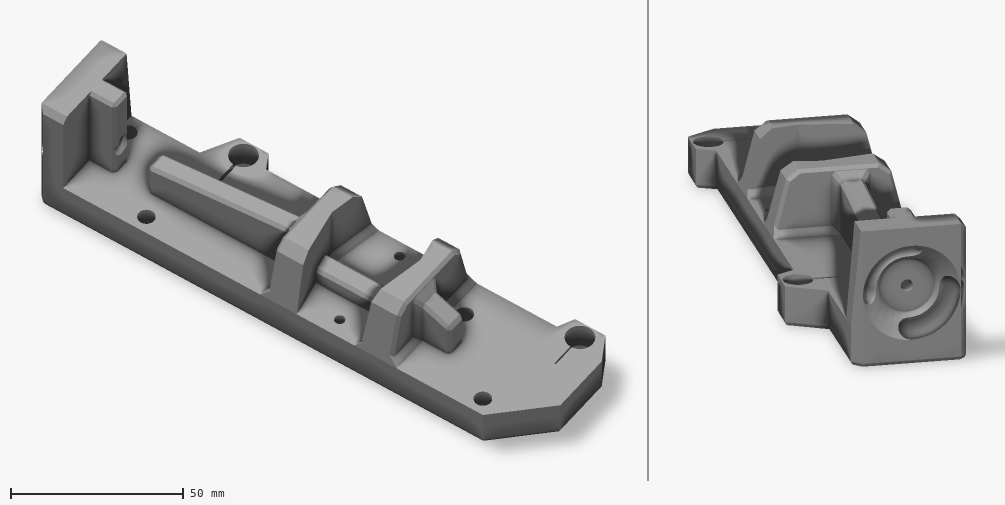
import cadquery as cq
import math

length = 175.0
plate_height = 12.0
body_width = 40.0
end_width = 34.1
total_width = 45.5
corner_cut = 16.1
foot_height = 1.0
foot_inset = 0.5

first_ear_foot = (33.5, 52.8)
first_ear_tip = (39.5, 49.9)
second_ear_foot = 156.6
second_ear_tip = (159.2, 170.1)
second_ear_side_y = 36.8

block_length = 9.1
block_height = 42.0
block_top_width = 31.7
near_bevel = 2.0
far_bevel = 2.8
axis_y = 16.6
axis_z = 21.9
cone_radius = 14.5
cone_floor_radius = 8.0
cone_depth = cone_radius - cone_floor_radius
bore_diameter = 3.7
bore_sink_diameter = 7.2
scallop_radius = 16.3

track_radius = 12.6
track_grooves = ((7.4, 3.2), (6.0, 4.0))
track_starts = (90, 270)
track_sweep = 90

centre_x = 103.8
outer_half_span = 22.2
tower_face = centre_x - outer_half_span
tower_height = 32.0
tower_shoulder = 29.2
tower_shoulder_inset = 4.4
tower_top_inset = 8.0
tower_edge_chamfer = 1.0
skirt_leg = 2.1
jaw_half_gap = 15.8
jaw_apex_x = centre_x - jaw_half_gap
jaw_apex_y = 23.8
jaw_slope = 0.185

overlap = 1.4
rib_width = 7.2
rib_chamfer = 1.0
peg_end = 18.2
long_rib_start = 30.0
long_rib_end = tower_face + overlap
long_rib_low = 23.1
long_rib_high = 28.9
short_rib_start = 2 * centre_x - long_rib_end
short_rib_end = 137.7
short_rib_high = 29.2
short_rib_low = 23.3
bridge_top = 17.8
bridge_start = jaw_apex_x - 2 * overlap
bridge_end = 2 * centre_x - bridge_start

hole_pitch = 120.0
screw_diameter = 5.5
screw_points = ((12.0, 28.4), (35.2, 5.0))
pin_diameter = 3.3
pin_ys = (5.6, 35.5)
socket_diameter = 9.0
socket_depth = 8.8
socket_x = 44.5
socket_y = 40.6
slit_end_y = 28.2
slit_widths = (1.0, 0.5)

spare = 3.5


def box(x0, x1, y0, y1, z0, z1):
    """Box between two opposite corners."""
    block = cq.Workplane("XY").box(x1 - x0, y1 - y0, z1 - z0, centered=False)
    return block.translate((x0, y0, z0))


def closed_wire(points):
    return cq.Wire.makePolygon([cq.Vector(*point) for point in points], close=True)


def ruled_loft(first, second):
    return cq.Workplane(cq.Solid.makeLoft([first, second], True))


def cone_x(x0, x1, radius0, radius1):
    """Cone frustum on the bore axis."""
    start = cq.Vector(x0, axis_y, axis_z)
    return cq.Workplane(cq.Solid.makeCone(radius0, radius1, x1 - x0, start, cq.Vector(1, 0, 0)))


def cylinder_x(x0, x1, radius):
    """Cylinder on the bore axis."""
    start = cq.Vector(x0, axis_y, axis_z)
    return cq.Workplane(cq.Solid.makeCylinder(radius, x1 - x0, start, cq.Vector(1, 0, 0)))


def upright_holes(points, diameter, z0):
    """Round holes from height z0 up to the top of the plate."""
    holes = cq.Workplane("XY").workplane(offset=z0).pushPoints(points)
    return holes.circle(diameter / 2).extrude(plate_height - z0)


def mirror_across_gap(shape):
    return shape.mirror("YZ", (centre_x, 0, 0))


def make_plate():
    outline = [
        (0, near_bevel),
        (near_bevel, 0),
        (length - corner_cut, 0),
        (length, corner_cut),
        (length, second_ear_side_y),
        (second_ear_tip[1], total_width),
        (second_ear_tip[0], total_width),
        (second_ear_foot, body_width),
        (first_ear_foot[1], body_width),
        (first_ear_tip[1], total_width),
        (first_ear_tip[0], total_width),
        (first_ear_foot[0], end_width),
        (far_bevel, end_width),
        (0, end_width - far_bevel),
    ]
    plate = cq.Workplane("XY").polyline(outline).close().extrude(plate_height)
    return plate.faces("<Z").edges().chamfer(foot_height, foot_inset)


def make_end_block():
    """Upright block with a leaning +Y side and both upright corners of its end face bevelled."""
    section = [
        (0, plate_height - spare),
        (end_width, plate_height - spare),
        (end_width, plate_height),
        (block_top_width, block_height),
        (near_bevel, block_height),
        (0, block_height - near_bevel),
    ]
    block = cq.Workplane("YZ").polyline(section).close().extrude(block_length)
    near_corner = [(0, 0), (near_bevel, 0), (0, near_bevel)]
    far_corner = [(0, end_width - far_bevel), (far_bevel, end_width), (0, end_width)]
    for corner in (near_corner, far_corner):
        block = block.cut(cq.Workplane("XY").polyline(corner).close().extrude(block_height))
    return block


def make_bore():
    """Cone in the end face, and a through bore countersunk at the end of the peg."""
    sink_depth = (bore_sink_diameter - bore_diameter) / 2
    cone = cone_x(0, cone_depth, cone_radius, cone_floor_radius)
    bore = cylinder_x(0, peg_end, bore_diameter / 2)
    sink = cone_x(peg_end - sink_depth, peg_end, bore_diameter / 2, bore_sink_diameter / 2)
    return cone.union(bore).union(sink)


def make_scallop():
    """Round relief in the bevelled upright corner beside the cone."""
    corner = box(0, near_bevel, 0, near_bevel, 0, block_height)
    return cylinder_x(0, near_bevel, scallop_radius).intersect(corner)


def cut_track(body, start_angle, diameter, depth):
    """Cuts a quarter-turn groove of round section with ball-shaped ends into body."""
    axis_start = (depth, axis_y, axis_z)
    axis_end = (depth - 1.8, axis_y, axis_z)
    ball = cq.Workplane("XY").sphere(diameter / 2)
    ball = ball.translate((depth, axis_y - track_radius, axis_z))
    for angle in (start_angle, start_angle + track_sweep):
        body = body.cut(ball.rotate(axis_start, axis_end, angle))
    groove = (
        cq.Workplane("XY", origin=axis_start)
        .center(0, -track_radius)
        .circle(diameter / 2)
        .revolve(track_sweep, (1.8, track_radius), (0, track_radius))
    )
    return body.cut(groove.rotate(axis_start, axis_end, start_angle))


def tower_prism(x0, x1):
    """Six-sided tower profile, extruded from x0 to x1."""
    profile = [
        (0, plate_height),
        (body_width, plate_height),
        (body_width - tower_shoulder_inset, tower_shoulder),
        (body_width - tower_top_inset, tower_height),
        (tower_top_inset, tower_height),
        (tower_shoulder_inset, tower_shoulder),
    ]
    return cq.Workplane("YZ").workplane(offset=x0).polyline(profile).close().extrude(x1 - x0)


def jaw_outline(z, setback):
    """Outline of the V-shaped gap at height z, its edge moved by setback towards the centre."""

    def edge_point(y):
        return (jaw_apex_x + setback + jaw_slope * abs(y - jaw_apex_y), y, z)

    y_low = -spare
    y_high = body_width + spare
    return closed_wire(
        [
            (centre_x, y_low, z),
            edge_point(y_low),
            edge_point(jaw_apex_y),
            edge_point(y_high),
            (centre_x, y_high, z),
        ]
    )


def make_upright_gap(z):
    """V-shaped gap with upright walls from height z upwards."""
    return ruled_loft(jaw_outline(z, 0), jaw_outline(block_height, 0))


def make_skirted_gap():
    """V-shaped gap that leaves a sloped skirt at the foot of the tower."""
    skirt_top = plate_height + skirt_leg
    foot = ruled_loft(jaw_outline(plate_height, skirt_leg), jaw_outline(skirt_top, 0))
    return foot.union(make_upright_gap(skirt_top))


def make_tower():
    """Tower on the -X side of the gap, with a sloped skirt along its outer foot too."""
    body = tower_prism(tower_face, centre_x - spare)
    body = body.faces("<X").edges("not(<Z)").chamfer(tower_edge_chamfer)
    skirt_start = tower_face - skirt_leg
    skirt_end = tower_face + tower_edge_chamfer
    triangle = [
        (skirt_start, plate_height),
        (skirt_end, plate_height),
        (skirt_end, plate_height + skirt_end - skirt_start),
    ]
    skirt = cq.Workplane("XZ").polyline(triangle).close().extrude(-body_width)
    skirt = skirt.intersect(tower_prism(skirt_start, skirt_end))
    return body.union(skirt).cut(make_skirted_gap())


def make_rib(x0, x1, top0, top1):
    """Chamfered rib on the bore axis; its top runs straight from top0 at x0 to top1 at x1."""
    bottom = plate_height - spare
    side = [(x0, bottom), (x1, bottom), (x1, top1), (x0, top0)]
    rib = cq.Workplane("XZ").polyline(side).close().extrude(rib_width / 2, both=True)
    return rib.edges().chamfer(rib_chamfer).translate((0, axis_y, 0))


def collar_section(x, half_width, top):
    """Rib cross-section at x, with its two top corners chamfered."""
    shoulder = top - rib_chamfer
    half_flat = half_width - rib_chamfer
    return closed_wire(
        [
            (x, axis_y - half_width, plate_height),
            (x, axis_y + half_width, plate_height),
            (x, axis_y + half_width, shoulder),
            (x, axis_y + half_flat, top),
            (x, axis_y - half_flat, top),
            (x, axis_y - half_width, shoulder),
        ]
    )


def make_collar(buried_top, slope):
    """Flare onto the first tower's outer face for a rib with this slope and buried end height."""
    top_at_face = buried_top - slope * overlap
    top_at_foot = top_at_face - slope * skirt_leg
    small = collar_section(tower_face - skirt_leg, rib_width / 2, top_at_foot)
    large = collar_section(tower_face, rib_width / 2 + skirt_leg, top_at_face + skirt_leg)
    root = cq.Workplane("YZ").add(large).toPending().extrude(2 * tower_edge_chamfer)
    return ruled_loft(small, large).union(root)


result = make_plate().union(make_end_block())
result = result.union(make_rib(block_length - overlap, peg_end, block_height, block_height))

tower = make_tower()
near_side = box(0, length, -spare, axis_y, 0, block_height)
first_tower = tower.cut(make_upright_gap(plate_height).intersect(near_side))
result = result.union(first_tower).union(mirror_across_gap(tower))

result = result.union(make_rib(long_rib_start, long_rib_end, long_rib_low, long_rib_high))
result = result.union(make_rib(short_rib_start, short_rib_end, short_rib_high, short_rib_low))
result = result.union(make_rib(bridge_start, bridge_end, bridge_top, bridge_top))
long_slope = (long_rib_high - long_rib_low) / (long_rib_end - long_rib_start)
short_slope = (short_rib_high - short_rib_low) / (short_rib_end - short_rib_start)
result = result.union(make_collar(long_rib_high, long_slope))
result = result.union(mirror_across_gap(make_collar(short_rib_high, short_slope)))

result = result.cut(make_bore()).cut(make_scallop())
for groove_diameter, groove_depth in track_grooves:
    for groove_start in track_starts:
        result = cut_track(result, groove_start, groove_diameter, groove_depth)

screws = [(x + shift, y) for x, y in screw_points for shift in (0, hole_pitch)]
pins = [(centre_x, y) for y in pin_ys]
result = result.cut(upright_holes(screws, screw_diameter, 0))
result = result.cut(upright_holes(pins, pin_diameter, 0))

socket_floor = plate_height - socket_depth
for shift, slit_width in zip((0, hole_pitch), slit_widths):
    slit_x = socket_x + shift - slit_width / 2
    slit = box(slit_x, slit_x + slit_width, slit_end_y, socket_y, socket_floor, plate_height)
    socket = upright_holes([(socket_x + shift, socket_y)], socket_diameter, socket_floor)
    result = result.cut(socket).cut(slit)

result = result.solids()